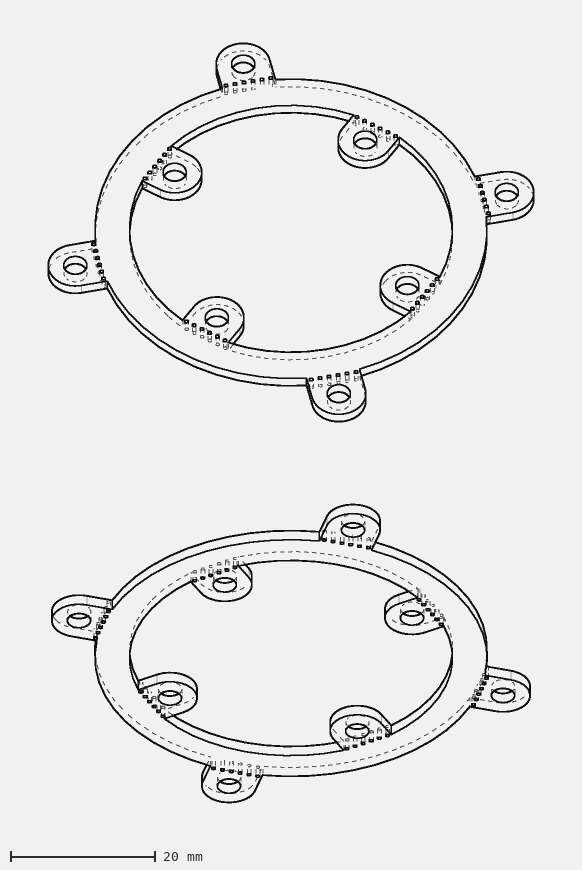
import cadquery as cq

thickness = 1.6
ring_outer_diameter = 54.15
ring_inner_diameter = 44.6
ring_middle_radius = (ring_outer_diameter + ring_inner_diameter) / 4

tab_count = 4
tab_width = 7.5
screw_hole_diameter = 3.2
inner_screw_radius = 19.05
outer_screw_radius = 30.5
inner_tab_start_angle = 0
outer_tab_start_angle = 45

break_hole_diameter = 0.51
break_hole_pitch = 1.27
break_hole_count = 6
inner_break_radius = 21.9
outer_break_radius = 27.2


def around(start_angle, shape):
    """Return one copy of the shape for each tab, evenly turned about Z."""
    step = 360 / tab_count
    return [shape.rotate((0, 0, 0), (0, 0, 1), start_angle + i * step) for i in range(tab_count)]


def make_ring():
    return (
        cq.Workplane("XY")
        .circle(ring_outer_diameter / 2)
        .circle(ring_inner_diameter / 2)
        .extrude(thickness)
    )


def make_tab(screw_radius):
    """Tab along +X, running from the middle of the ring to a round end at the screw hole."""
    root_length = abs(screw_radius - ring_middle_radius)
    root_center = (screw_radius + ring_middle_radius) / 2
    root = cq.Workplane("XY").center(root_center, 0).rect(root_length, tab_width).extrude(thickness)
    round_end = cq.Workplane("XY").center(screw_radius, 0).circle(tab_width / 2).extrude(thickness)
    return root.union(round_end)


def make_hole_cutter(screw_radius, break_radius):
    """Screw hole and break-off row for the tab along +X."""
    row_half_length = break_hole_pitch * (break_hole_count - 1) / 2
    row = [(break_radius, i * break_hole_pitch - row_half_length) for i in range(break_hole_count)]
    break_holes = cq.Workplane("XY").pushPoints(row).circle(break_hole_diameter / 2).extrude(thickness)
    screw_hole = cq.Workplane("XY").center(screw_radius, 0).circle(screw_hole_diameter / 2).extrude(thickness)
    return break_holes.union(screw_hole)


tab_sets = [
    (inner_tab_start_angle, inner_screw_radius, inner_break_radius),
    (outer_tab_start_angle, outer_screw_radius, outer_break_radius),
]

body = make_ring()
for start_angle, screw_radius, break_radius in tab_sets:
    for tab in around(start_angle, make_tab(screw_radius)):
        body = body.union(tab)
    for cutter in around(start_angle, make_hole_cutter(screw_radius, break_radius)):
        body = body.cut(cutter)

result = cq.Workplane(body.solids().val())